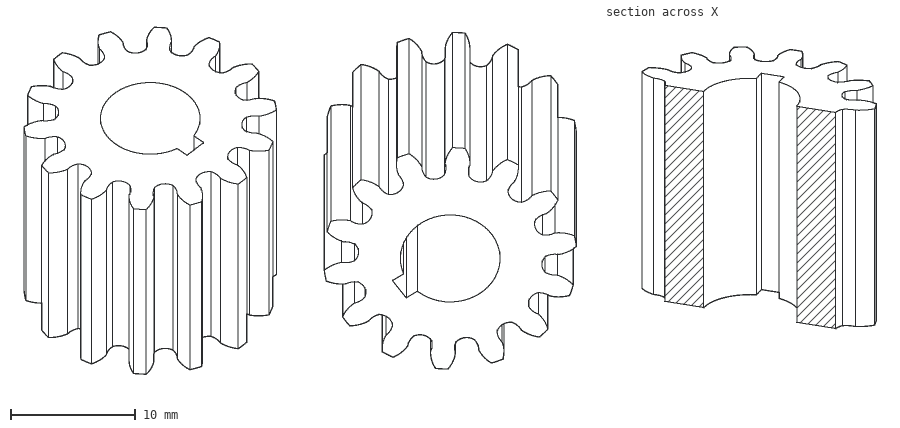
import cadquery as cq
import math

TOOTH_COUNT = 14
FACE_WIDTH = 19.05
BORE_DIAMETER = 8.0
KEYWAY_WIDTH = 1.95
KEYWAY_FLOOR = 4.97

TIP_RADIUS = 10.18
TIP_HALF_WIDTH = 0.505
FLANK_MID_RADIUS = 9.53
FLANK_MID_HALF_WIDTH = 0.845

FLANK_START_RADIUS = 8.73
FLANK_START_HALF_WIDTH = 0.945
FILLET_MID_RADIUS = 8.2
FILLET_MID_HALF_WIDTH = 0.93
FILLET_END_RADIUS = 7.71
FILLET_END_HALF_WIDTH = 0.74
ROOT_RADIUS = 7.38

TOOTH_PITCH = 360 / TOOTH_COUNT


def rim_point(radius, half_width, centerline_angle):
    """Point at a radius from the gear axis, half_width to the left of a centreline (degrees)."""
    angle = math.radians(centerline_angle) + math.asin(half_width / radius)
    return (radius * math.cos(angle), radius * math.sin(angle))


def add_tooth_and_gap(outline, tooth):
    """Continue the outline from a tooth's right tip corner to the next tooth's right tip corner."""
    here = tooth * TOOTH_PITCH
    gap = here + TOOTH_PITCH / 2
    following = here + TOOTH_PITCH

    tip_middle = rim_point(TIP_RADIUS, 0, here)
    tip_end = rim_point(TIP_RADIUS, TIP_HALF_WIDTH, here)
    falling_flank_middle = rim_point(FLANK_MID_RADIUS, FLANK_MID_HALF_WIDTH, here)
    falling_flank_end = rim_point(FLANK_START_RADIUS, -FLANK_START_HALF_WIDTH, gap)
    falling_fillet_middle = rim_point(FILLET_MID_RADIUS, -FILLET_MID_HALF_WIDTH, gap)
    falling_fillet_end = rim_point(FILLET_END_RADIUS, -FILLET_END_HALF_WIDTH, gap)
    root_middle = rim_point(ROOT_RADIUS, 0, gap)
    root_end = rim_point(FILLET_END_RADIUS, FILLET_END_HALF_WIDTH, gap)
    rising_fillet_middle = rim_point(FILLET_MID_RADIUS, FILLET_MID_HALF_WIDTH, gap)
    rising_fillet_end = rim_point(FLANK_START_RADIUS, FLANK_START_HALF_WIDTH, gap)
    rising_flank_middle = rim_point(FLANK_MID_RADIUS, -FLANK_MID_HALF_WIDTH, following)
    rising_flank_end = rim_point(TIP_RADIUS, -TIP_HALF_WIDTH, following)

    return (
        outline
        .threePointArc(tip_middle, tip_end)
        .threePointArc(falling_flank_middle, falling_flank_end)
        .threePointArc(falling_fillet_middle, falling_fillet_end)
        .threePointArc(root_middle, root_end)
        .threePointArc(rising_fillet_middle, rising_fillet_end)
        .threePointArc(rising_flank_middle, rising_flank_end)
    )


def gear_blank():
    """Solid spur gear with one tooth centred on the +X axis."""
    outline = cq.Workplane("XY").moveTo(*rim_point(TIP_RADIUS, -TIP_HALF_WIDTH, 0))
    for tooth in range(TOOTH_COUNT):
        outline = add_tooth_and_gap(outline, tooth)
    return outline.close().extrude(FACE_WIDTH)


def bore():
    """Through bore on the gear axis."""
    return cq.Workplane("XY").circle(BORE_DIAMETER / 2).extrude(FACE_WIDTH)


def keyway():
    """Square-cornered slot along the +X side of the bore, from the axis to the keyway floor."""
    return (
        cq.Workplane("XY")
        .center(KEYWAY_FLOOR / 2, 0)
        .rect(KEYWAY_FLOOR, KEYWAY_WIDTH)
        .extrude(FACE_WIDTH)
    )


result = gear_blank().cut(bore()).cut(keyway())